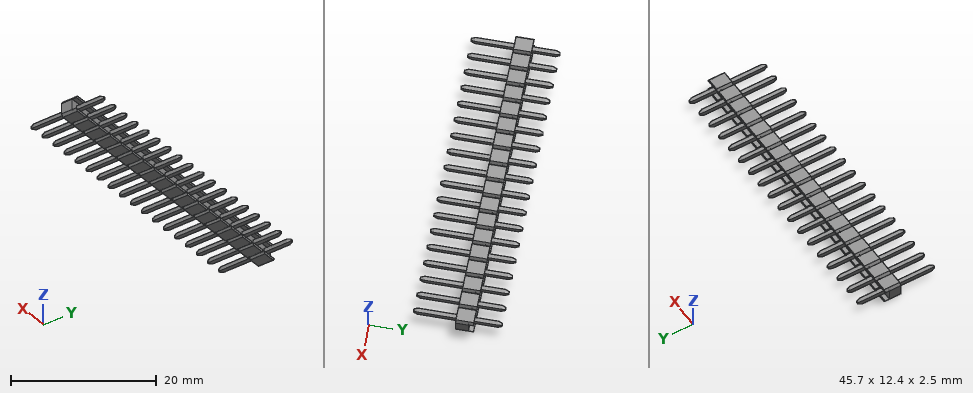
import cadquery as cq

strip_length = 45.7
strip_height = 2.5
strip_depth = strip_height
pin_count = 18
pitch = strip_length / pin_count

groove_half_width = 0.295
groove_depth = 0.402

channel_depth = 0.7
channel_height = 1.75

pin_length = 12.4
pin_width = 0.65
tip_width = pin_width / 2
tip_length = 0.55
pin_front_reach = 6.1
pin_offset_x = -0.1

strip_left = -strip_length / 2
shank_start = tip_length - pin_front_reach
shank_length = pin_length - 2 * tip_length


def make_bar(center_x, start_y, length_x, length_y, length_z):
    """Rectangular bar centred on Z = 0 that runs from start_y toward +Y."""
    return cq.Workplane("XY", origin=(center_x, start_y, 0)).box(
        length_x, length_y, length_z, centered=(True, False, True)
    )


def make_groove(center_x, side):
    """V-groove running along Y in the top (side = 1) or bottom (side = -1) face."""
    face_z = side * strip_height / 2
    return (
        cq.Workplane("XZ", origin=(center_x, 0, face_z))
        .moveTo(-groove_half_width, 0)
        .lineTo(groove_half_width, 0)
        .lineTo(0, -side * groove_depth)
        .close()
        .extrude(-strip_depth)
    )


def make_strip():
    """Strip with grooves marking the cells and a channel along its back."""
    strip = make_bar(0, 0, strip_length, strip_depth, strip_height)
    channel_start = strip_depth - channel_depth
    strip = strip.cut(make_bar(0, channel_start, strip_length, channel_depth, channel_height))
    for boundary in range(pin_count + 1):
        for side in (1, -1):
            strip = strip.cut(make_groove(strip_left + boundary * pitch, side))
    return strip


def make_tip(center_x, base_y, direction):
    """Tapered pin tip growing from base_y toward +Y (direction = 1) or -Y (direction = -1)."""
    base_plane = cq.Plane(origin=(center_x, base_y, 0), xDir=(1, 0, 0), normal=(0, direction, 0))
    return (
        cq.Workplane(base_plane)
        .rect(pin_width, pin_width)
        .workplane(offset=tip_length)
        .rect(tip_width, tip_width)
        .loft(ruled=True)
    )


def make_pin(center_x):
    """Straight square pin passing through the strip along Y, tapered at both ends."""
    shank = make_bar(center_x, shank_start, pin_width, shank_length, pin_width)
    front_tip = make_tip(center_x, shank_start, -1)
    back_tip = make_tip(center_x, shank_start + shank_length, 1)
    return shank.union(front_tip).union(back_tip)


result = make_strip()
for cell in range(pin_count):
    cell_center = strip_left + (cell + 0.5) * pitch
    result = result.union(make_pin(cell_center + pin_offset_x))